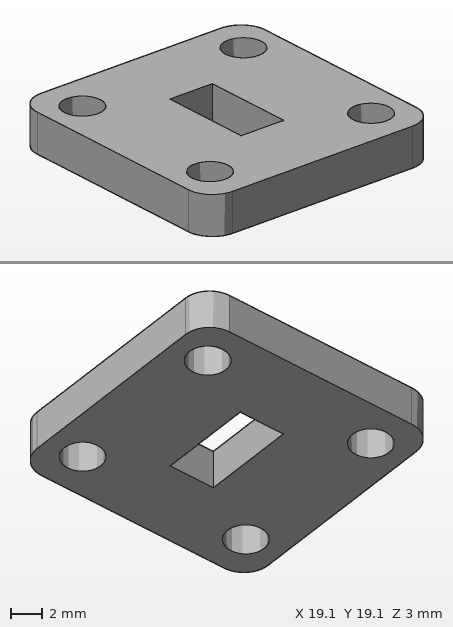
import cadquery as cq

side = 19.05
thickness = 3.0
corner_radius = 2.0

hole_diameter = 3.0
hole_spacing_x = 12.7
hole_spacing_y = 13.47

opening_length = 7.1
opening_width = opening_length / 2

plate = (
    cq.Workplane("XY")
    .rect(side, side)
    .extrude(thickness)
    .edges("|Z")
    .fillet(corner_radius)
)

drilled_plate = (
    plate.faces(">Z")
    .workplane(origin=(0, 0, thickness))
    .rect(hole_spacing_x, hole_spacing_y, forConstruction=True)
    .vertices()
    .hole(hole_diameter)
)

result = (
    drilled_plate.faces(">Z")
    .workplane(origin=(0, 0, thickness))
    .rect(opening_length, opening_width)
    .cutThruAll()
)